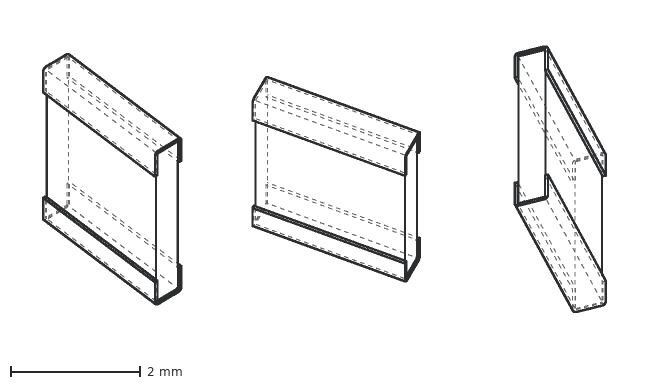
import cadquery as cq

width = 2.6
thickness = 0.55
height = 3.2

cap_wall = 0.05
cap_length = 0.5
cap_edge_radius = 0.075

side_inset = 0.025
body_width = width - 2 * side_inset
body_thickness = thickness - 2 * cap_wall
body_height = height - 2 * cap_wall


def make_body():
    """Plain rectangular block between and inside the two caps."""
    return cq.Workplane("XY").box(body_width, body_thickness, body_height)


def make_cap(end):
    """U-shaped terminal at the top (end = 1) or bottom (end = -1), open along X."""
    outer_end = ">Z" if end > 0 else "<Z"
    block = (
        cq.Workplane("XY")
        .box(width, thickness, cap_length)
        .translate((0, 0, end * (height - cap_length) / 2))
        .faces(outer_end)
        .edges("|X")
        .fillet(cap_edge_radius)
    )
    channel = cq.Workplane("XY").box(width, body_thickness, body_height)
    return block.cut(channel).solids()


body = make_body()
caps = [make_cap(end) for end in (1, -1)]

result = cq.Compound.makeCompound([body.val(), *[cap.val() for cap in caps]])